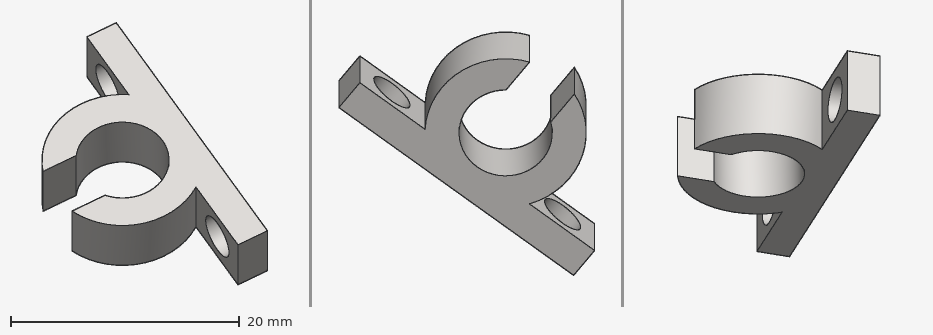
import cadquery as cq

plate_length = 26.0
plate_thickness = 3.0
height = 6.0

hole_diameter = 4.0
hole_spacing = 18.9

bore_radius = 4.075
ring_radius = 7.05
mouth_width = 4.95

plate_back_y = ring_radius
plate_center_y = plate_back_y - plate_thickness / 2


def make_plate():
    """Flat plate behind the ring, with its two screw holes along Y."""
    plate = cq.Workplane("XY").box(plate_length, plate_thickness, height)
    plate = (
        plate.faces("<Y")
        .workplane(centerOption="CenterOfBoundBox")
        .pushPoints([(-hole_spacing / 2, 0), (hole_spacing / 2, 0)])
        .hole(hole_diameter)
    )
    return plate.translate((0, plate_center_y, height / 2))


def make_ring():
    """Solid disc that forms the outside of the clip."""
    return cq.Workplane("XY").circle(ring_radius).extrude(height)


def make_bore():
    """Round seat of the clip."""
    return cq.Workplane("XY").circle(bore_radius).extrude(height)


def make_mouth():
    """Straight opening from the bore centre out through the -Y side of the ring."""
    return (
        cq.Workplane("XY")
        .box(mouth_width, ring_radius, height, centered=(True, False, False))
        .translate((0, -ring_radius, 0))
    )


result = make_plate().union(make_ring()).cut(make_bore()).cut(make_mouth())